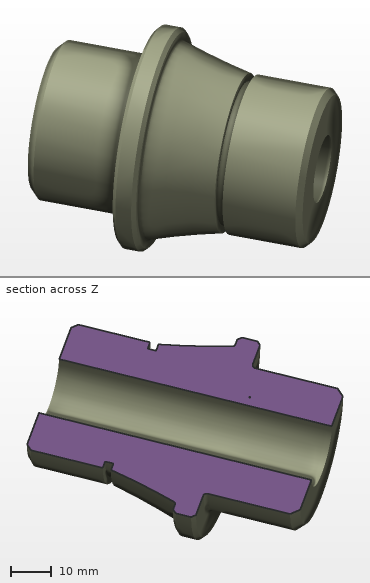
import cadquery as cq
import math

total_length = 70.0
shank_radius = 20.0
bore_radius = 8.5

flange_start = 24.0
flange_end = 29.95
flange_radius = 28.0
flange_chamfer = 1.0

left_chamfer = 2.0
right_chamfer = 1.5

groove_start = 48.0
groove_width = 2.0
groove_radius = 18.0

flare_radius = 24.9
flare_sag = 0.245
shank_fillet = 0.85
flare_fillet = 0.55

groove_end = groove_start + groove_width


def point_on_flare():
    """Middle point of the concave flare, offset inward from its chord."""
    run = groove_start - flange_end
    drop = flare_radius - shank_radius
    chord = math.hypot(run, drop)
    x = (flange_end + groove_start) / 2 - flare_sag * drop / chord
    radius = (flare_radius + shank_radius) / 2 - flare_sag * run / chord
    return x, radius


def half_section():
    """Closed profile between the bore and the outside, in X and radius."""
    return (
        cq.Workplane("XY")
        .moveTo(0, bore_radius)
        .lineTo(0, shank_radius - left_chamfer)
        .lineTo(left_chamfer, shank_radius)
        .lineTo(flange_start, shank_radius)
        .lineTo(flange_start, flange_radius - flange_chamfer)
        .lineTo(flange_start + flange_chamfer, flange_radius)
        .lineTo(flange_end - flange_chamfer, flange_radius)
        .lineTo(flange_end, flange_radius - flange_chamfer)
        .lineTo(flange_end, flare_radius)
        .threePointArc(point_on_flare(), (groove_start, shank_radius))
        .lineTo(groove_start, groove_radius)
        .lineTo(groove_end, groove_radius)
        .lineTo(groove_end, shank_radius)
        .lineTo(total_length - right_chamfer, shank_radius)
        .lineTo(total_length, shank_radius - right_chamfer)
        .lineTo(total_length, bore_radius)
        .close()
    )


def fillet_corner(body, x, corner_radius, fillet_radius):
    """Round the circular edge found at the given X and radius."""
    margin = 0.1
    reach = corner_radius + margin
    edge = cq.selectors.BoxSelector(
        (x - margin, -reach, -reach), (x + margin, reach, reach), boundingbox=True
    )
    return body.edges(edge).edges("%CIRCLE").fillet(fillet_radius)


body = half_section().revolve(360, (0, 0, 0), (1, 0, 0))
body = fillet_corner(body, flange_start, shank_radius, shank_fillet)
result = fillet_corner(body, flange_end, flare_radius, flare_fillet)